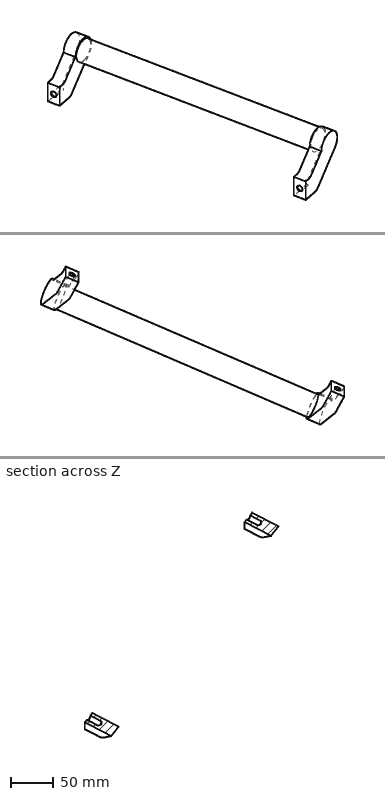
import cadquery as cq
import math

overall_length = 367.0
arm_thickness = 17.0
bar_radius = 15.0

head_radius = 17.0
mount_face_y = -51.0
foot_bottom_z = -51.0
foot_height = 27.0
bend_radius = 8.0

hole_radius = 3.3
mouth_radius = 4.0
hole_depth = 16.0
drill_point_angle = 118.0

left_end_x = -overall_length / 2
foot_top_z = foot_bottom_z + foot_height
hole_z = foot_bottom_z + foot_height / 2
inner_bend_y = foot_top_z - head_radius
tangent_offset = head_radius * math.sqrt(0.5)
outer_bend_y = foot_bottom_z + 2 * tangent_offset


def make_arm(start_x):
    """Arm whose outline is extruded along +X from start_x, with both bends rounded."""
    profile = (
        cq.Workplane("YZ", origin=(start_x, 0, 0))
        .moveTo(-head_radius, 0)
        .lineTo(inner_bend_y, foot_top_z)
        .lineTo(mount_face_y, foot_top_z)
        .lineTo(mount_face_y, foot_bottom_z)
        .lineTo(outer_bend_y, foot_bottom_z)
        .lineTo(tangent_offset, -tangent_offset)
        .threePointArc((tangent_offset, tangent_offset), (-head_radius, 0))
        .close()
    )
    arm = profile.extrude(arm_thickness)
    middle_x = start_x + arm_thickness / 2
    for bend_y, bend_z in ((inner_bend_y, foot_top_z), (outer_bend_y, foot_bottom_z)):
        bend_edge = cq.selectors.NearestToPointSelector((middle_x, bend_y, bend_z))
        arm = arm.edges(bend_edge).fillet(bend_radius)
    return arm.cut(make_mounting_hole(middle_x))


def make_mounting_hole(center_x):
    """Cutter for one hole, its half section revolved about the hole axis (parallel to Y)."""
    mouth_depth = mouth_radius - hole_radius
    point_length = hole_radius / math.tan(math.radians(drill_point_angle / 2))
    half_section = (
        cq.Workplane("XY", origin=(center_x, mount_face_y, hole_z))
        .lineTo(mouth_radius, 0)
        .lineTo(hole_radius, mouth_depth)
        .lineTo(hole_radius, hole_depth)
        .lineTo(0, hole_depth + point_length)
        .close()
    )
    return half_section.revolve(360, (0, 0, 0), (0, 1, 0))


def make_bar():
    """Round bar through both arm heads, flush with their outer faces."""
    end_plane = cq.Workplane("YZ", origin=(left_end_x, 0, 0))
    return end_plane.circle(bar_radius).extrude(overall_length)


result = make_bar()
for arm_start_x in (left_end_x, -left_end_x - arm_thickness):
    result = result.union(make_arm(arm_start_x), clean=False)